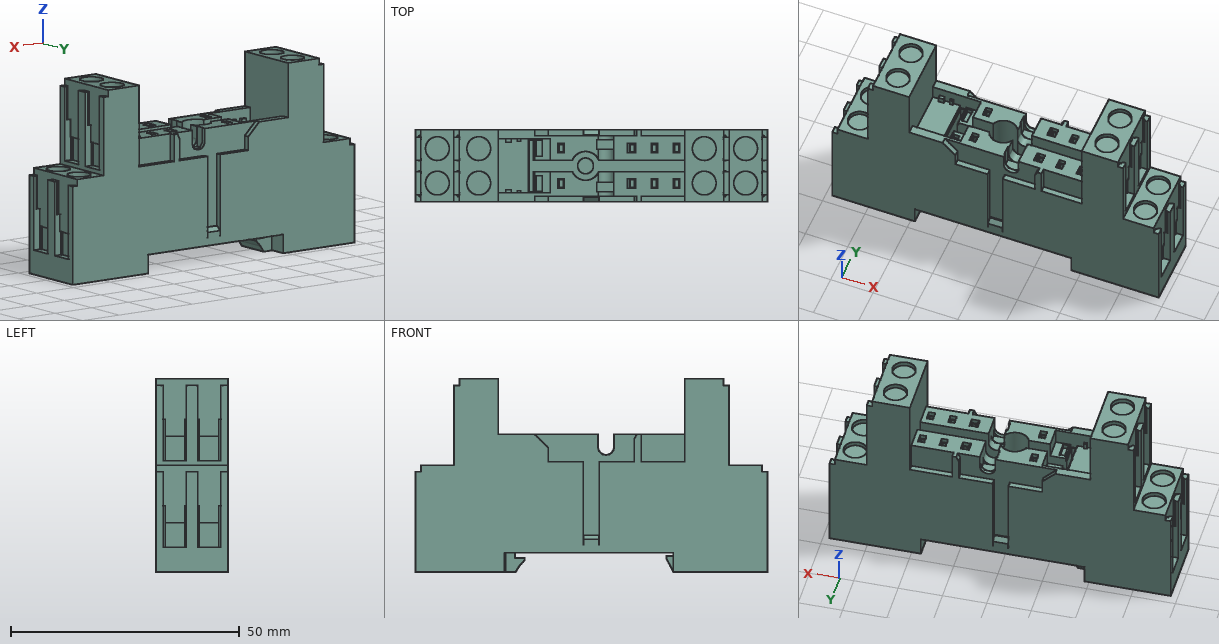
import cadquery as cq


LENGTH = 77.0
WIDTH = 15.8
HEIGHT = 42.3
HALF_LENGTH = LENGTH / 2
HALF_WIDTH = WIDTH / 2
OVERLAP = 1.0

TOWER_OUTER_X = 30.1
TOWER_INNER_X = 20.35
LOWER_TIER_Z = 23.4
RIB_DEPTH = 1.22
RIB_TOP_DROP = 1.45
DECK_Z = 30.15

ENTRY_INNER_Y = 1.27
ENTRY_OUTER_Y = 6.3
ENTRY_HEIGHT = 16.5
SIDE_SLOT_DROP = 7.4
ENTRY_STEP_DROP = 11.2
ENTRY_STRAIGHT_DEPTH = 0.6
UNDERCUT_OUTER = 0.4
UNDERCUT_INNER = 0.2
INNER_SLOT_WIDTH = 0.3
OUTER_SLOT_WIDTH = 0.45
CLAMP_INNER_Y = ENTRY_INNER_Y + INNER_SLOT_WIDTH
CLAMP_OUTER_Y = ENTRY_OUTER_Y - OUTER_SLOT_WIDTH
SIDE_SLOT_DEPTH = 0.4
CLAMP_DEPTH = 0.75

SCREW_RADIUS = 2.6
SCREW_DEPTH = 1.0
SCREW_Y = 3.77
UPPER_SCREW_X = 24.65
LOWER_SCREW_X = 33.7

NOTCH_LEFT_X = -19.0
NOTCH_RIGHT_X = 17.86
NOTCH_Z = 4.2
HOOK_WIDTH = 8.0
HOOK_GAP = 0.25
SPRING_STEM_X = -16.7
SPRING_TIP_X = -14.55
SPRING_LEDGE_Z = 3.1
SPRING_TIP_Z = 2.65
SPRING_KNEE_X = -15.7
SPRING_KNEE_Z = 1.4
SPRING_TOE_X = -16.6
FIXED_TIP_X = 16.35
FIXED_LEDGE_Z = 3.55
FIXED_TIP_Z = 2.95
FIXED_FOOT_Z = 0.1

RECESS_DEPTH = 1.3
RECESS_FLOOR_Z = 24.15
RECESS_LEFT_X = -9.45
RECESS_BEVEL_X = -12.45
RECESS_BEVEL_Z = 27.2
RIB_LEFT_X = 9.3
RIB_RIGHT_X = 10.83
RIB_BEVEL_X = 0.6
RIB_BEVEL_Z = 1.15
SLOT_LEFT_X = -1.85
SLOT_RIGHT_X = 1.68
SLOT_BOTTOM_Z = 6.0
LATCH_GAP = 0.12
LATCH_TOP_Z = 8.1
LATCH_EDGE_Z = 7.2
LATCH_LEDGE = 0.25

CHANNEL_HALF_WIDTH = 1.25
CHANNEL_FLOOR_Z = 20.0
GROOVE_LEFT_X = -13.88
GROOVE_RIGHT_X = -12.45
GROOVE_RIM = 0.27
GROOVE_RIM_Z = 26.0
INDEX_X = -1.3
INDEX_RADIUS = 3.15
INDEX_HOLE_RADIUS = 1.73
INDEX_HOLE_DEPTH = 3.0
POCKET_HALF_WIDTH = 5.92
POCKET_RIGHT_X = -9.0
POCKET_FLOOR_Z = 26.7
STUD_HEIGHT = 1.3
STUDS = [(-18.75, -17.5, 0.72), (-16.2, -15.45, 0.5)]
FLOOR_SLOT_X = -11.42
FLOOR_SLOT_Y = 3.85
FLOOR_SLOT_LENGTH = 1.25
FLOOR_SLOT_WIDTH = 3.4
FLOOR_SLOT_DEPTH = 1.0

CROSS_LEFT_X = 1.45
CROSS_RIGHT_X = 4.9
CROSS_BOTTOM_Z = 25.65
CROSS_SEAT_LEFT_X = 1.2
CROSS_SEAT_Y = 4.65
CROSS_SEAT_WIDTH = 2.1

CONTACT_XS = [-6.65, 8.95, 13.75, 18.6]
CONTACT_Y = 3.87
CONTACT_LENGTH = 1.4
CONTACT_WIDTH = 2.1
CONTACT_RIM = 0.27
CONTACT_RIM_DEPTH = 1.0
CONTACT_DEPTH = 3.0
LEAD_LEFT_X = 7.85
LEAD_DEPTH = 0.5


def box(x0, x1, y0, y1, z0, z1):
    """Box between two opposite corners."""
    return cq.Workplane("XY").box(x1 - x0, y1 - y0, z1 - z0, centered=False).translate((x0, y0, z0))


def prism(points, y0, y1):
    """XZ outline extruded from y0 to y1."""
    return cq.Workplane("XZ", origin=(0, y1, 0)).polyline(points).close().extrude(y1 - y0)


def both_sides(tool):
    """A tool together with its mirror image across the width."""
    return tool.union(tool.mirror("XZ"))


def both_ends(tool):
    """A tool together with its mirror image along the length."""
    return tool.union(tool.mirror("YZ"))


def tier_outline(outer_x, top_z):
    """Right-hand outline points of one tier, from its rib up to its top."""
    rib_z = top_z - RIB_TOP_DROP
    wall_x = outer_x - RIB_DEPTH
    return [(outer_x, rib_z), (wall_x, rib_z), (wall_x, top_z)]


def make_body():
    """Stepped block with a tower at each end and the rail notch underneath."""
    right_tiers = (
        [(HALF_LENGTH, 0)]
        + tier_outline(HALF_LENGTH, LOWER_TIER_Z)
        + [(TOWER_OUTER_X, LOWER_TIER_Z)]
        + tier_outline(TOWER_OUTER_X, HEIGHT)
        + [(TOWER_INNER_X, HEIGHT), (TOWER_INNER_X, DECK_Z)]
    )
    left_tiers = [(-x, z) for x, z in reversed(right_tiers)]
    body = prism(right_tiers + left_tiers, -HALF_WIDTH, HALF_WIDTH)
    notch = box(NOTCH_LEFT_X, NOTCH_RIGHT_X, -HALF_WIDTH, HALF_WIDTH, 0, NOTCH_Z)
    return body.cut(notch)


def make_rail_hooks():
    """Spring hook on the left of the rail notch, fixed hook on the right."""
    stem_x = NOTCH_LEFT_X + HOOK_GAP
    spring_hook = [
        (stem_x, 0),
        (stem_x, NOTCH_Z + OVERLAP),
        (SPRING_STEM_X, NOTCH_Z + OVERLAP),
        (SPRING_STEM_X, SPRING_LEDGE_Z),
        (SPRING_TIP_X, SPRING_LEDGE_Z),
        (SPRING_TIP_X, SPRING_TIP_Z),
        (SPRING_KNEE_X, SPRING_KNEE_Z),
        (SPRING_TOE_X, 0),
    ]
    fixed_hook = [
        (NOTCH_RIGHT_X + OVERLAP, FIXED_LEDGE_Z),
        (FIXED_TIP_X, FIXED_LEDGE_Z),
        (FIXED_TIP_X, FIXED_TIP_Z),
        (NOTCH_RIGHT_X, FIXED_FOOT_Z),
        (NOTCH_RIGHT_X + OVERLAP, FIXED_FOOT_Z),
    ]
    half = HOOK_WIDTH / 2
    return prism(spring_hook, -half, half).union(prism(fixed_hook, -half, half))


def wire_entry(outer_x, rib_z):
    """Tool for one wire entry on the left end, on the +Y half."""
    wall_x = -outer_x + RIB_DEPTH
    floor_z = rib_z - ENTRY_HEIGHT
    slot_top_z = rib_z - SIDE_SLOT_DROP
    step_z = rib_z - ENTRY_STEP_DROP
    front_x = -outer_x - OVERLAP
    channel = box(front_x, wall_x, ENTRY_INNER_Y, ENTRY_OUTER_Y, floor_z, rib_z)
    undercut_x = -outer_x + ENTRY_STRAIGHT_DEPTH
    middle_x = (undercut_x + wall_x) / 2
    undercut = (
        cq.Workplane("XY", origin=(0, 0, slot_top_z))
        .polyline([
            (undercut_x, ENTRY_INNER_Y),
            (middle_x, ENTRY_INNER_Y - UNDERCUT_INNER),
            (wall_x, ENTRY_INNER_Y - UNDERCUT_INNER),
            (wall_x, ENTRY_OUTER_Y + UNDERCUT_OUTER),
            (middle_x, ENTRY_OUTER_Y + UNDERCUT_OUTER),
            (undercut_x, ENTRY_OUTER_Y),
        ])
        .close()
        .extrude(rib_z - slot_top_z)
    )
    slot_x = wall_x + SIDE_SLOT_DEPTH
    inner_slot = box(front_x, slot_x, ENTRY_INNER_Y, CLAMP_INNER_Y, floor_z, slot_top_z)
    outer_slot = box(front_x, slot_x, CLAMP_OUTER_Y, ENTRY_OUTER_Y, floor_z, slot_top_z)
    clamp = box(front_x, wall_x + CLAMP_DEPTH, CLAMP_INNER_Y, CLAMP_OUTER_Y, floor_z, step_z)
    return channel.union(undercut).union(inner_slot).union(outer_slot).union(clamp)


def terminal_cuts():
    """Wire entries and screw recesses of all eight terminals."""
    cuts = cq.Workplane("XY")
    tiers = [(HALF_LENGTH, LOWER_TIER_Z, LOWER_SCREW_X), (TOWER_OUTER_X, HEIGHT, UPPER_SCREW_X)]
    for outer_x, top_z, screw_x in tiers:
        cuts = cuts.add(wire_entry(outer_x, top_z - RIB_TOP_DROP))
        screw = cq.Workplane("XY", origin=(-screw_x, SCREW_Y, top_z)).circle(SCREW_RADIUS)
        cuts = cuts.add(screw.extrude(-SCREW_DEPTH))
    return both_ends(both_sides(cuts.combine()))


def side_recess():
    """Stepped recess in the +Y side with the long latch slot below it."""
    inner_y = HALF_WIDTH - RECESS_DEPTH
    outline = [
        (RECESS_BEVEL_X, DECK_Z),
        (RECESS_LEFT_X, RECESS_BEVEL_Z),
        (RECESS_LEFT_X, RECESS_FLOOR_Z),
        (SLOT_LEFT_X, RECESS_FLOOR_Z),
        (SLOT_LEFT_X, SLOT_BOTTOM_Z),
        (SLOT_RIGHT_X, SLOT_BOTTOM_Z),
        (SLOT_RIGHT_X, RECESS_FLOOR_Z),
        (RIB_LEFT_X, RECESS_FLOOR_Z),
        (RIB_LEFT_X, DECK_Z - RIB_BEVEL_Z),
        (RIB_LEFT_X + RIB_BEVEL_X, DECK_Z),
    ]
    main = prism(outline, inner_y, HALF_WIDTH)
    bay = box(RIB_RIGHT_X, TOWER_INNER_X, inner_y, HALF_WIDTH, RECESS_FLOOR_Z, DECK_Z)
    return main.union(bay)


def slot_latch():
    """Sloped latch filling the foot of the +Y slot."""
    inner_y = HALF_WIDTH - RECESS_DEPTH
    left_x = SLOT_LEFT_X + LATCH_GAP
    right_x = SLOT_RIGHT_X - LATCH_GAP
    return (
        cq.Workplane("YZ", origin=(left_x, 0, 0))
        .polyline([
            (inner_y, SLOT_BOTTOM_Z),
            (HALF_WIDTH, SLOT_BOTTOM_Z),
            (HALF_WIDTH, LATCH_EDGE_Z),
            (inner_y + LATCH_LEDGE, LATCH_TOP_Z),
            (inner_y, LATCH_TOP_Z),
        ])
        .close()
        .extrude(right_x - left_x)
    )


def channel_cuts():
    """Centre channel, the cross groove at its left end and the index hole."""
    half = CHANNEL_HALF_WIDTH
    inner_left = GROOVE_LEFT_X + GROOVE_RIM
    inner_right = GROOVE_RIGHT_X - GROOVE_RIM
    rim_y = POCKET_HALF_WIDTH
    inner_y = rim_y - GROOVE_RIM
    channel = box(inner_left, TOWER_INNER_X, -half, half, CHANNEL_FLOOR_Z, DECK_Z)
    rim = box(GROOVE_LEFT_X, GROOVE_RIGHT_X, -rim_y, rim_y, GROOVE_RIM_Z, DECK_Z)
    groove = box(inner_left, inner_right, -inner_y, inner_y, CHANNEL_FLOOR_Z, DECK_Z)
    index = cq.Workplane("XY", origin=(INDEX_X, 0, CHANNEL_FLOOR_Z))
    clearance = index.circle(INDEX_RADIUS).extrude(DECK_Z - CHANNEL_FLOOR_Z)
    hole = index.circle(INDEX_HOLE_RADIUS).extrude(-INDEX_HOLE_DEPTH)
    return channel.union(rim).union(groove).union(clearance).union(hole)


def pocket_cut():
    """Shallow end pocket with wall studs and a pair of floor slots."""
    half = POCKET_HALF_WIDTH
    pocket = box(-TOWER_INNER_X, POCKET_RIGHT_X, -half, half, POCKET_FLOOR_Z, DECK_Z)
    for left_x, right_x, projection in STUDS:
        stud_top = POCKET_FLOOR_Z + STUD_HEIGHT
        stud = box(left_x, right_x, half - projection, half, POCKET_FLOOR_Z, stud_top)
        pocket = pocket.cut(both_sides(stud))
    slots = (
        cq.Workplane("XY", origin=(0, 0, POCKET_FLOOR_Z))
        .pushPoints([(FLOOR_SLOT_X, FLOOR_SLOT_Y), (FLOOR_SLOT_X, -FLOOR_SLOT_Y)])
        .rect(FLOOR_SLOT_LENGTH, FLOOR_SLOT_WIDTH)
        .extrude(-FLOOR_SLOT_DEPTH)
    )
    return pocket.union(slots)


def cross_groove_cut():
    """Round-bottomed groove across the deck with a flat seat in each half."""
    radius = (CROSS_RIGHT_X - CROSS_LEFT_X) / 2
    middle_x = (CROSS_RIGHT_X + CROSS_LEFT_X) / 2
    spring_z = CROSS_BOTTOM_Z + radius
    groove = (
        cq.Workplane("XZ", origin=(0, HALF_WIDTH, 0))
        .moveTo(CROSS_LEFT_X, DECK_Z)
        .lineTo(CROSS_LEFT_X, spring_z)
        .threePointArc((middle_x, CROSS_BOTTOM_Z), (CROSS_RIGHT_X, spring_z))
        .lineTo(CROSS_RIGHT_X, DECK_Z)
        .close()
        .extrude(WIDTH)
    )
    seat_y0 = CROSS_SEAT_Y - CROSS_SEAT_WIDTH / 2
    seat_y1 = CROSS_SEAT_Y + CROSS_SEAT_WIDTH / 2
    seat = box(CROSS_SEAT_LEFT_X, CROSS_RIGHT_X, seat_y0, seat_y1, CROSS_BOTTOM_Z, DECK_Z)
    return groove.union(both_sides(seat))


def contact_cuts():
    """Stepped contact holes in the deck blocks."""
    centres = [(x, side * CONTACT_Y) for x in CONTACT_XS for side in (-1, 1)]
    top = cq.Workplane("XY", origin=(0, 0, DECK_Z)).pushPoints(centres)
    mouth = top.rect(CONTACT_LENGTH, CONTACT_WIDTH).extrude(-CONTACT_RIM_DEPTH)
    bore_length = CONTACT_LENGTH - 2 * CONTACT_RIM
    bore_width = CONTACT_WIDTH - 2 * CONTACT_RIM
    bore = top.rect(bore_length, bore_width).extrude(-CONTACT_DEPTH)
    lead_y0 = CONTACT_Y - CONTACT_WIDTH / 2
    lead_y1 = CONTACT_Y + CONTACT_WIDTH / 2
    lead = box(LEAD_LEFT_X, CONTACT_XS[1], lead_y0, lead_y1, DECK_Z - LEAD_DEPTH, DECK_Z)
    return mouth.union(bore).union(both_sides(lead))


result = (
    make_body()
    .union(make_rail_hooks())
    .cut(terminal_cuts())
    .cut(both_sides(side_recess()))
    .union(both_sides(slot_latch()))
    .cut(pocket_cut())
    .cut(channel_cuts())
    .cut(cross_groove_cut())
    .cut(contact_cuts())
)